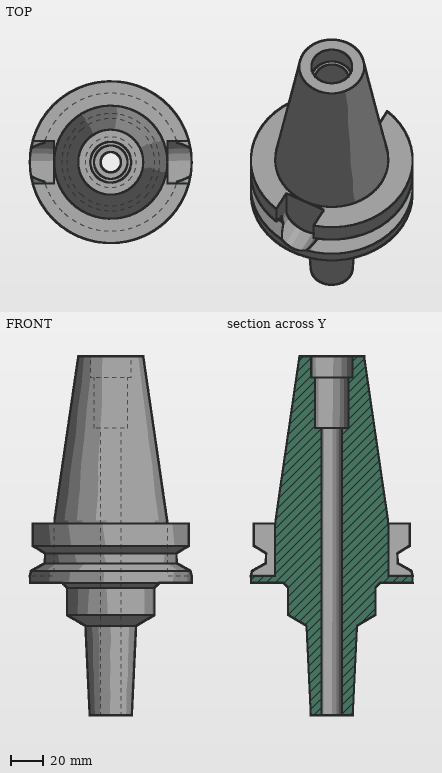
import cadquery as cq

total_height = 221.8
gauge_height = 120.0
gauge_diameter = 69.9
taper_ratio = 7 / 24
taper_top_diameter = gauge_diameter - taper_ratio * (total_height - gauge_height)

flange_diameter = 100.0
flange_top = 118.5
flange_bottom = 81.8
groove_diameter = 85.5
groove_top = 104.7
groove_bottom = 89.2
groove_slope_height = 4.7

collar_diameter = 54.1
collar_bottom = 61.9
collar_chamfer = 3.0
nose_top = 55.2
nose_top_diameter = 31.5
nose_tip_diameter = 26.2

slot_width = 26.2
slot_bottom = 86.0
slot_floor_offset = 35.0

entry_bore_diameter = 25.0
entry_bore_depth = 13.0
middle_bore_diameter = 20.6
middle_bore_depth = 44.4
through_bore_diameter = 12.5


def make_body():
    """Revolve the outer outline, given as (radius, height) points."""
    flange_radius = flange_diameter / 2
    groove_radius = groove_diameter / 2
    collar_radius = collar_diameter / 2
    outline = [
        (0, 0),
        (nose_tip_diameter / 2, 0),
        (nose_top_diameter / 2, nose_top),
        (collar_radius, collar_bottom),
        (collar_radius, flange_bottom - collar_chamfer),
        (collar_radius + collar_chamfer, flange_bottom),
        (flange_radius, flange_bottom),
        (flange_radius, groove_bottom),
        (groove_radius, groove_bottom + groove_slope_height),
        (groove_radius, groove_top - groove_slope_height),
        (flange_radius, groove_top),
        (flange_radius, flange_top),
        (gauge_diameter / 2, flange_top),
        (gauge_diameter / 2, gauge_height),
        (taper_top_diameter / 2, total_height),
        (0, total_height),
    ]
    return cq.Workplane("XZ").polyline(outline).close().revolve(360, (0, 0), (0, 1))


def make_slot(side):
    """Round-bottomed drive slot, open upward and outward; side is -1 or 1."""
    radius = slot_width / 2
    arc_center = slot_bottom + radius
    return (
        cq.Workplane("YZ", origin=(side * slot_floor_offset, 0, 0))
        .moveTo(-radius, flange_top)
        .lineTo(-radius, arc_center)
        .threePointArc((0, slot_bottom), (radius, arc_center))
        .lineTo(radius, flange_top)
        .close()
        .extrude(side * flange_diameter / 2)
    )


def make_bore(diameter, depth):
    """Cylinder reaching down from the top face."""
    return cq.Workplane("XY", origin=(0, 0, total_height - depth)).circle(diameter / 2).extrude(depth)


result = make_body()
for side in (-1, 1):
    result = result.cut(make_slot(side))

for diameter, depth in (
    (entry_bore_diameter, entry_bore_depth),
    (middle_bore_diameter, middle_bore_depth),
    (through_bore_diameter, total_height),
):
    result = result.cut(make_bore(diameter, depth))